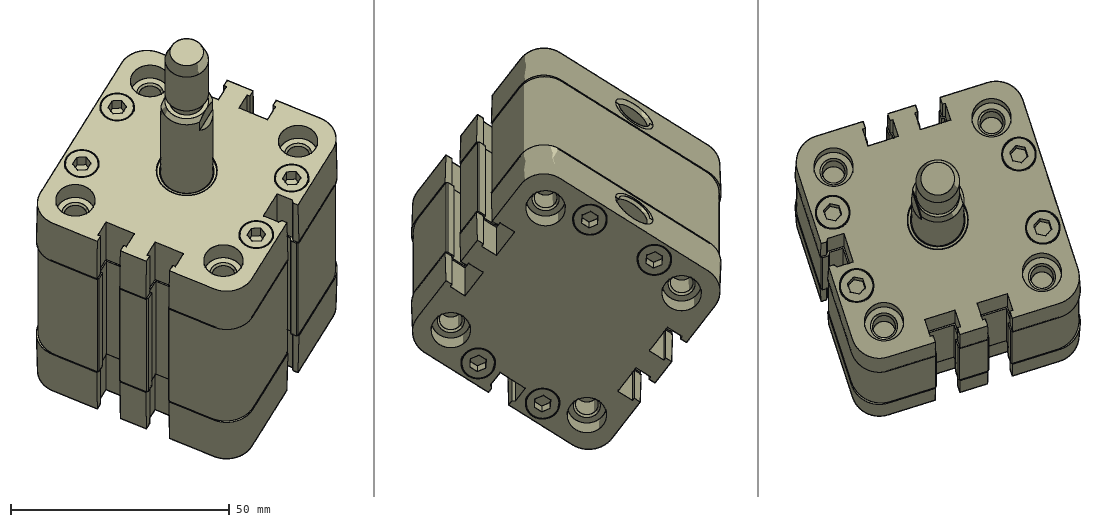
import cadquery as cq
import math

cap_width = 54.8
cap_corner_radius = 6.75
cap_height = 14.5
cap_draft = 1.0
barrel_width = 54.4
barrel_corner_radius = 7.1
barrel_height = 36.0
bore_diameter = 40.0

slot_offset = 6.3
slot_mouth = 5.2
slot_inner = 6.6
slot_lip = 2.1
slot_lip_slope = 0.0
slot_depth = 5.5
side_slot_mouth = 4.9
side_slot_inner = 6.3
side_slot_lip = 1.7
side_slot_depth = 5.4
side_slot_lip_slope = 0.5
slot_edge_chamfer = 0.3
cap_slot_clearance = 0.35

mount_spacing = 38.0
mount_counterbore_diameter = 9.0
mount_counterbore_depth = 5.0
mount_hole_diameter = 5.2
mount_hole_depth = 12.0
mount_countersink_diameter = 6.2

screw_x = 22.4
screw_y = 9.0
screw_head_diameter = 7.5
screw_recess_diameter = 7.9
screw_groove_depth = 1.0
screw_hex_corners = 4.2
screw_hex_depth = 3.0

port_diameter = 8.57
port_mouth_diameter = 10.4
port_chamfer_depth = 1.0
port_height = 8.0
port_floor_radius = 17.0

seal_mouth_diameter = 14.0
seal_diameter = 13.7
seal_depth = 0.3
seal_lip_diameter = 12.54

rod_diameter = 12.0
rod_shoulder_height = 27.0
rod_chamfer = 1.0
rod_flat_width = 10.0
rod_flat_height = 4.2
thread_diameter = 10.0
neck_diameter = 7.9
neck_height = 2.3
neck_chamfer_height = 0.7
tip_diameter = 7.7
tip_chamfer_height = 2.9
total_height = 111.0

barrel_bottom = cap_height
barrel_top = barrel_bottom + barrel_height
body_height = barrel_top + cap_height
shoulder_z = body_height + rod_shoulder_height
slot_half_width = barrel_width / 2


def cone(lower_diameter, upper_diameter, height, z):
    """Truncated cone about the Z axis, starting at z."""
    return (
        cq.Workplane("XZ")
        .polyline([
            (0, z),
            (lower_diameter / 2, z),
            (upper_diameter / 2, z + height),
            (0, z + height),
        ])
        .close()
        .revolve(360, (0, 0, 0), (0, 1, 0))
    )


def cylinder(diameter, height, z):
    """Cylinder about the Z axis, starting at z."""
    return cq.Workplane("XY", origin=(0, 0, z)).circle(diameter / 2).extrude(height)


def rounded_square(width, corner_radius):
    """Square outline with rounded corners, centred on the axis."""
    return cq.Sketch().rect(width, width).vertices().fillet(corner_radius)


def slot_cutter(mouth, inner, lip, depth, lip_slope, edge_chamfer, clearance, height, z):
    """T-slot on the X axis, open towards +X; a zero edge_chamfer leaves the mouth plain."""
    outside = slot_half_width + 1.0
    lip_x = slot_half_width - lip + clearance
    floor_x = slot_half_width - depth - clearance
    mouth_half = mouth / 2 + clearance
    inner_half = inner / 2 + clearance
    slot = (
        cq.Workplane("XY", origin=(0, 0, z))
        .polyline([
            (outside, -mouth_half),
            (lip_x, -mouth_half),
            (lip_x - lip_slope, -inner_half),
            (floor_x, -inner_half),
            (floor_x, inner_half),
            (lip_x - lip_slope, inner_half),
            (lip_x, mouth_half),
            (outside, mouth_half),
        ])
        .close()
        .extrude(height)
    )
    if edge_chamfer > 0:
        base_half = mouth_half + edge_chamfer
        chamfer_wedge = (
            cq.Workplane("XY", origin=(0, 0, z))
            .polyline([
                (slot_half_width, -base_half),
                (slot_half_width, base_half),
                (slot_half_width - base_half, 0),
            ])
            .close()
            .extrude(height)
        )
        slot = slot.union(chamfer_wedge)
    return slot


def cut_slots(body, height, z, edge_chamfer, clearance):
    """Cut two slots in each Y side and one in the +X side."""
    slot = slot_cutter(
        slot_mouth, slot_inner, slot_lip, slot_depth,
        slot_lip_slope, edge_chamfer, clearance, height, z,
    )
    for side_angle in (90, -90):
        turned_slot = slot.rotate((0, 0, 0), (0, 0, 1), side_angle)
        for x in (-slot_offset, slot_offset):
            body = body.cut(turned_slot.translate((x, 0, 0)))
    side_slot = slot_cutter(
        side_slot_mouth, side_slot_inner, side_slot_lip, side_slot_depth,
        side_slot_lip_slope, edge_chamfer, clearance, height, z,
    )
    return body.cut(side_slot)


def mount_hole_cutter():
    """Counterbored, countersunk blind hole."""
    seat_z = cap_height - mount_counterbore_depth
    sink_height = (mount_countersink_diameter - mount_hole_diameter) / 2
    counterbore = cylinder(mount_counterbore_diameter, mount_counterbore_depth, seat_z)
    countersink = cone(
        mount_hole_diameter, mount_countersink_diameter, sink_height, seat_z - sink_height
    )
    hole = cylinder(mount_hole_diameter, mount_hole_depth, cap_height - mount_hole_depth)
    return hole.union(countersink).union(counterbore)


def screw_head_cutter():
    """Ring groove round a flush screw head, and its hex socket."""
    groove_z = cap_height - screw_groove_depth
    groove = cylinder(screw_recess_diameter, screw_groove_depth, groove_z).cut(
        cylinder(screw_head_diameter, screw_groove_depth, groove_z)
    )
    socket = (
        cq.Workplane("XY", origin=(0, 0, cap_height - screw_hex_depth))
        .polygon(6, screw_hex_corners)
        .extrude(screw_hex_depth)
        .rotate((0, 0, 0), (0, 0, 1), 30)
    )
    return groove.union(socket)


def port_cutter():
    """Chamfered port along X, ending on a curved floor."""
    outer_end = cap_width / 2
    mouth_end = outer_end - (cap_height - port_height) * math.tan(math.radians(cap_draft))
    port = cylinder(port_diameter, outer_end, 0)
    chamfer = cone(
        port_diameter, port_mouth_diameter, port_chamfer_depth, mouth_end - port_chamfer_depth
    )
    port = port.union(chamfer).rotate((0, 0, 0), (0, 1, 0), -90)
    port = port.translate((0, 0, cap_height - port_height))
    return port.cut(cylinder(2 * port_floor_radius, 2 * cap_height, -cap_height / 2))


def make_cap():
    """Plain end cap, common to both ends."""
    cap = (
        cq.Workplane("XY")
        .placeSketch(rounded_square(cap_width, cap_corner_radius))
        .extrude(cap_height, taper=cap_draft)
    )
    cap = cut_slots(cap, cap_height, 0, 0, cap_slot_clearance)
    for x in (-mount_spacing / 2, mount_spacing / 2):
        for y in (-mount_spacing / 2, mount_spacing / 2):
            cap = cap.cut(mount_hole_cutter().translate((x, y, 0)))
    for x in (-screw_x, screw_x):
        for y in (-screw_y, screw_y):
            cap = cap.cut(screw_head_cutter().translate((x, y, 0)))
    return cap.cut(port_cutter())


def make_top_cap():
    """End cap with the rod hole and the seat round the rod."""
    seal_mouth_height = (seal_mouth_diameter - seal_diameter) / 2
    seal_lip_height = (seal_lip_diameter - rod_diameter) / 2
    seat_z = cap_height - seal_depth
    cap = make_cap().cut(cylinder(rod_diameter, cap_height, 0))
    cap = cap.cut(cylinder(seal_diameter, seal_depth, seat_z))
    cap = cap.cut(cone(
        seal_diameter, seal_mouth_diameter, seal_mouth_height, cap_height - seal_mouth_height
    ))
    cap = cap.cut(cone(rod_diameter, seal_lip_diameter, seal_lip_height, seat_z - seal_lip_height))
    return cap.translate((0, 0, barrel_top))


def make_bottom_cap():
    """Mirror image of the plain end cap, under the barrel."""
    return make_cap().mirror("XY").translate((0, 0, barrel_bottom))


def make_barrel():
    """Slotted square profile with the cylinder bore through it."""
    barrel = (
        cq.Workplane("XY", origin=(0, 0, barrel_bottom))
        .placeSketch(rounded_square(barrel_width, barrel_corner_radius))
        .extrude(barrel_height)
    )
    barrel = barrel.cut(cylinder(bore_diameter, barrel_height, barrel_bottom))
    return cut_slots(barrel, barrel_height, barrel_bottom, slot_edge_chamfer, 0)


def rod_flat_cutter():
    """Removes one wrench flat on the +X side, with a 45 degree run-out below."""
    flat_x = rod_flat_width / 2
    outside = rod_diameter / 2 + 1.0
    flat_bottom = shoulder_z - rod_flat_height
    return (
        cq.Workplane("XZ")
        .polyline([
            (flat_x, shoulder_z),
            (flat_x, flat_bottom),
            (outside, flat_bottom - (outside - flat_x)),
            (outside, shoulder_z),
        ])
        .close()
        .extrude(rod_diameter / 2, both=True)
    )


def make_rod():
    """Turned rod standing on the bottom cap, with a threaded end and two wrench flats."""
    rod_radius = rod_diameter / 2
    neck_radius = neck_diameter / 2
    thread_radius = thread_diameter / 2
    neck_top = shoulder_z + neck_height
    rod = (
        cq.Workplane("XZ")
        .polyline([
            (0, barrel_bottom),
            (rod_radius, barrel_bottom),
            (rod_radius, shoulder_z - rod_chamfer),
            (rod_radius - rod_chamfer, shoulder_z),
            (neck_radius, shoulder_z),
            (neck_radius, neck_top),
            (thread_radius, neck_top + neck_chamfer_height),
            (thread_radius, total_height - tip_chamfer_height),
            (tip_diameter / 2, total_height),
            (0, total_height),
        ])
        .close()
        .revolve(360, (0, 0, 0), (0, 1, 0))
    )
    flat = rod_flat_cutter()
    return rod.cut(flat).cut(flat.mirror("YZ"))


bottom_cap = make_bottom_cap()
barrel = make_barrel()
top_cap = make_top_cap()
rod = make_rod()

result = cq.Compound.makeCompound([
    bottom_cap.solids().val(),
    barrel.solids().val(),
    top_cap.solids().val(),
    rod.solids().val(),
])